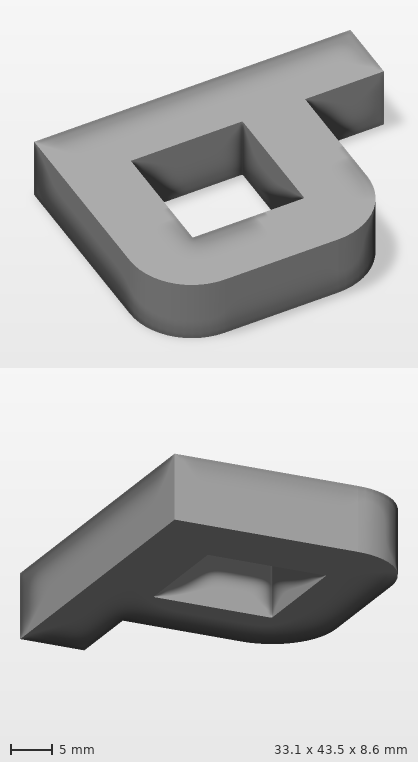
import cadquery as cq

overall_width = 33.1
overall_height = 43.45
bar = 8.6
bowl_height = 32.6
outer_radius = 8.5

bottom_bar = 8.7
window_width = overall_width - 2 * bar
window_height = bowl_height - bar - bottom_bar
window_top_radius = 0.17


def corner_block(width, height):
    """Plate with its lower left corner at the origin."""
    return cq.Workplane("XY").rect(width, height, centered=False).extrude(bar)


stem = corner_block(bar, overall_height)

bowl = corner_block(overall_width, bowl_height).edges("|Z and >X").fillet(outer_radius)

window = (
    corner_block(window_width, window_height)
    .edges("|Z and >Y")
    .fillet(window_top_radius)
    .translate((bar, bottom_bar, 0))
)

result = stem.union(bowl).cut(window)